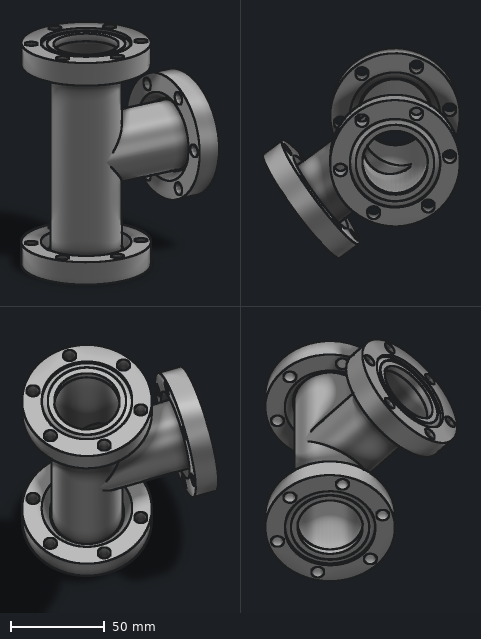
import cadquery as cq

reach = 62.5
tube_diameter = 38.1
tube_bore = 35.0
tube_end_depth = 5.2

flange_diameter = 69.3
flange_thickness = 12.7
recess_diameter = 48.3
throat_diameter = 39.6
ring_shoulder_depth = 7.2
back_cone_depth = (recess_diameter - throat_diameter) / 2
bolt_count = 6
bolt_circle = 58.7
bolt_hole_diameter = 6.9

hub_diameter = 48.1
hub_bore = 34.9
socket_diameter = 38.4
knife_diameter = 41.8
knife_depth = 0.5
hub_face_depth = 1.0
hub_rim_depth = 1.6

port_planes = [
    cq.Plane(origin=(0, 0, reach), xDir=(1, 0, 0), normal=(0, 0, 1)),
    cq.Plane(origin=(0, 0, -reach), xDir=(1, 0, 0), normal=(0, 0, -1)),
    cq.Plane(origin=(0, reach, 0), xDir=(1, 0, 0), normal=(0, 1, 0)),
]


def revolve_profile(points):
    """Revolve (radius, height) points about Z."""
    return cq.Workplane("XZ").polyline(points).close().revolve(360, (0, 0, 0), (0, 1, 0))


def make_tube():
    """Equal tee tube with a through run and one branch."""
    length = reach - tube_end_depth

    def tee_shape(diameter):
        run = cq.Workplane("XY").circle(diameter / 2).extrude(length, both=True)
        branch = cq.Workplane("XZ").circle(diameter / 2).extrude(-length)
        return run.union(branch)

    return tee_shape(tube_diameter).cut(tee_shape(tube_bore))


def make_flange_ring():
    """Bolt ring with its sealing face at Z = 0 and its body below."""
    outer = flange_diameter / 2
    recess = recess_diameter / 2
    throat = throat_diameter / 2
    ring = revolve_profile([
        (recess, 0),
        (outer, 0),
        (outer, -flange_thickness),
        (recess, -flange_thickness),
        (throat, back_cone_depth - flange_thickness),
        (throat, -ring_shoulder_depth),
        (recess, -ring_shoulder_depth),
    ])
    bolt_holes = (
        cq.Workplane("XY")
        .polarArray(bolt_circle / 2, 0, 360, bolt_count)
        .circle(bolt_hole_diameter / 2)
        .extrude(-flange_thickness)
    )
    return ring.cut(bolt_holes)


def make_hub():
    """Knife-edge hub resting on the ring shoulder, with a socket for the tube end."""
    outer = hub_diameter / 2
    bore = hub_bore / 2
    socket = socket_diameter / 2
    knife = knife_diameter / 2
    return revolve_profile([
        (bore, -hub_face_depth),
        (knife, -hub_face_depth),
        (knife, -knife_depth),
        (outer, -hub_rim_depth),
        (outer, -ring_shoulder_depth),
        (socket, -ring_shoulder_depth),
        (socket, -tube_end_depth),
        (bore, -tube_end_depth),
    ])


tube = make_tube()
flange_ring = make_flange_ring().val()
hub = make_hub().val()

flange_rings = []
hubs = []
for plane in port_planes:
    port = cq.Location(plane)
    flange_rings.append(flange_ring.moved(port))
    hubs.append(hub.moved(port))

result = cq.Compound.makeCompound([*tube.vals(), *flange_rings, *hubs])